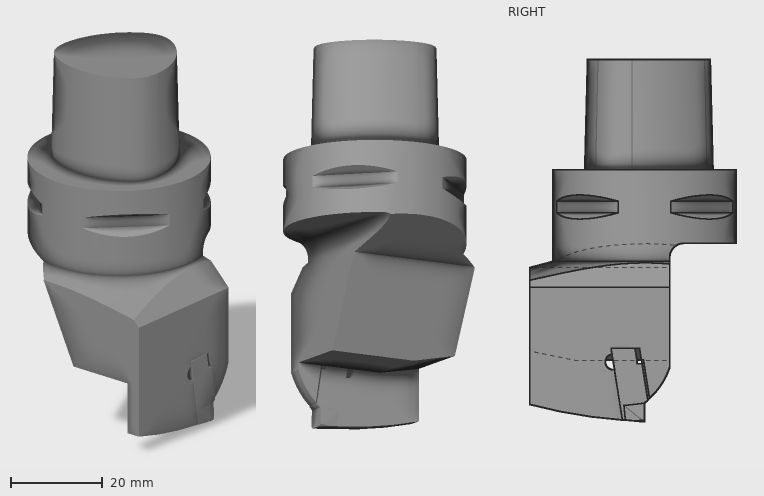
import cadquery as cq
import math


shank_height = 24.0
shank_radius = 14.0
shank_taper = 1 / 40
lobe_height = 0.93
lobe_count = 3
patch_angle = math.pi / lobe_count
patch_samples = 12

flange_radius = 20.0
flange_thickness = 16.1
flange_arm_thickness = 20.0
groove_count = 4
groove_z = -8.15
groove_floor_distance = 17.6
groove_floor_height = 2.5
groove_wall_angle = math.radians(30)

arm_back_y = 5.5
arm_front_y = -25.05
slope_angle = math.radians(15)
heel_x = -0.6
toe_x = 8.9
arm_bottom_z = -41.5
arm_front_bottom_z = -39.5
bottom_bevel_y = -15.2
shoulder_z = -25.6
arm_fillet = 3.0

insert_center_x = 25.0
insert_width = 3.4
insert_tilt = math.radians(9)
insert_top_z = -38.9
insert_front_foot = 1.44
insert_back_foot = -4.77
insert_step_z = -42.3
insert_step_depth = 1.0
nose_z = -50.3
tip_z = -55.0

tip_width = 4.02
tip_top_width = 3.6
tip_top_z = -50.9
tip_back_top = (-4.5, -51.4)
tip_back_bottom = (-4.2, -54.6)
tip_corner = 0.4

blade_inner_x = insert_center_x - insert_width / 2
blade_outer_x = 26.5
blade_top_z = -30.0
jaw_start_z = -43.1
jaw_middle = (3.7, -46.8)
jaw_end = (1.15, -49.8)
blade_front_bottom_z = -51.2
blade_bottom_middle = (-10.8, -54.0)
blade_bottom_end_z = -54.6
jaw_bevel = 0.45
relief_radius = 1.7
relief_z = -41.9


def seat_front_y(z):
    """y of the tilted front line of the insert seat at height z."""
    return insert_front_foot - (z - tip_z) * math.tan(insert_tilt)


def seat_back_y(z):
    """y of the tilted back line of the insert seat at height z."""
    return insert_back_foot - (z - tip_z) * math.tan(insert_tilt)


def yz_plane(x):
    """Sketch plane across X, with local axes along Y and Z."""
    return cq.Workplane("YZ", origin=(x, 0, 0))


def lobed_point(radius, z, angle):
    """Point of the constant-width three-lobed curve with its normal at the given angle."""
    phase = lobe_count * (angle - math.pi / 2)
    support = radius + lobe_height * math.cos(phase)
    slope = -lobe_count * lobe_height * math.sin(phase)
    x = support * math.cos(angle) - slope * math.sin(angle)
    y = support * math.sin(angle) + slope * math.cos(angle)
    return cq.Vector(x, y, z)


def lobed_wire(radius, z):
    """Closed section of six patches, alternately a lobe and a flank."""
    edges = []
    for patch in range(2 * lobe_count):
        start = patch * patch_angle
        angles = [start + patch_angle * i / patch_samples for i in range(patch_samples + 1)]
        tangents = [cq.Vector(-math.sin(a), math.cos(a), 0) for a in (angles[0], angles[-1])]
        edges.append(cq.Edge.makeSpline([lobed_point(radius, z, a) for a in angles], tangents=tangents))
    return cq.Wire.assembleEdges(edges)


def make_shank():
    top_radius = shank_radius - shank_taper * shank_height
    sections = [lobed_wire(shank_radius, 0), lobed_wire(top_radius, shank_height)]
    return cq.Workplane(cq.Solid.makeLoft(sections, True))


def make_groove_cutter():
    """Prism with a trapezoid section that opens outward along +X."""
    depth = flange_radius - groove_floor_distance
    half_floor = groove_floor_height / 2
    half_mouth = half_floor + depth * math.tan(groove_wall_angle)
    return (
        cq.Workplane("XZ")
        .moveTo(groove_floor_distance, groove_z - half_floor)
        .lineTo(flange_radius, groove_z - half_mouth)
        .lineTo(flange_radius, groove_z + half_mouth)
        .lineTo(groove_floor_distance, groove_z + half_floor)
        .close()
        .extrude(flange_radius, both=True)
    )


def make_flange():
    return cq.Workplane("XY").circle(flange_radius).extrude(-flange_thickness)


def cut_gripper_grooves(body):
    cutter = make_groove_cutter()
    step = 360 / groove_count
    for i in range(groove_count):
        body = body.cut(cutter.rotate((0, 0, 0), (0, 0, 1), step * (i + 0.5)))
    return body


def make_arm_envelope():
    """Flange cylinder widening below into the cone that tops the arm."""
    reach = 2 * flange_radius
    cone_foot_z = -flange_arm_thickness - (reach - flange_radius) * math.tan(slope_angle)
    return (
        cq.Workplane("XZ")
        .lineTo(flange_radius, 0)
        .lineTo(flange_radius, -flange_arm_thickness)
        .lineTo(reach, cone_foot_z)
        .lineTo(reach, arm_bottom_z)
        .lineTo(0, arm_bottom_z)
        .close()
        .revolve(360, (0, 0, 0), (0, 1, 0))
    )


def make_arm():
    heel_z = -flange_thickness - (heel_x + flange_radius) * math.tan(slope_angle)
    shoulder_top_x = blade_outer_x - (-flange_arm_thickness - shoulder_z)
    side_profile = (
        cq.Workplane("XZ")
        .moveTo(-flange_radius, -flange_thickness)
        .lineTo(heel_x, heel_z)
        .lineTo(toe_x, arm_bottom_z)
        .lineTo(blade_outer_x, arm_bottom_z)
        .lineTo(blade_outer_x, shoulder_z)
        .lineTo(shoulder_top_x, -flange_arm_thickness)
        .lineTo(shoulder_top_x, -flange_thickness)
        .close()
        .extrude(2 * flange_radius, both=True)
    )
    cross_profile = (
        yz_plane(0)
        .moveTo(arm_front_y, -flange_thickness)
        .lineTo(arm_back_y + arm_fillet, -flange_thickness)
        .radiusArc((arm_back_y, -flange_thickness - arm_fillet), -arm_fillet)
        .lineTo(arm_back_y, arm_bottom_z)
        .lineTo(bottom_bevel_y, arm_bottom_z)
        .lineTo(arm_front_y, arm_front_bottom_z)
        .close()
        .extrude(2 * flange_radius, both=True)
    )
    return make_arm_envelope().intersect(side_profile).intersect(cross_profile)


def make_blade():
    return (
        yz_plane(blade_inner_x)
        .moveTo(arm_front_y, blade_top_z)
        .lineTo(arm_back_y, blade_top_z)
        .lineTo(arm_back_y, jaw_start_z)
        .threePointArc(jaw_middle, jaw_end)
        .lineTo(seat_back_y(blade_bottom_end_z), blade_bottom_end_z)
        .threePointArc(blade_bottom_middle, (arm_front_y, blade_front_bottom_z))
        .close()
        .extrude(blade_outer_x - blade_inner_x)
    )


def make_seat_cutter():
    """Tilted insert slot with the round relief on its back line."""
    slot = (
        yz_plane(blade_inner_x)
        .moveTo(seat_front_y(insert_top_z), insert_top_z)
        .lineTo(seat_front_y(tip_z), tip_z)
        .lineTo(seat_back_y(tip_z), tip_z)
        .lineTo(seat_back_y(insert_top_z), insert_top_z)
        .close()
        .extrude(insert_width)
    )
    relief = (
        yz_plane(blade_inner_x)
        .center(seat_back_y(relief_z), relief_z)
        .circle(relief_radius)
        .extrude(insert_width)
    )
    return slot.union(relief)


def make_jaw_bevel_cutter():
    """Wedges that bevel both edges of the upper jaw along the insert."""
    start = (0, seat_front_y(arm_bottom_z), arm_bottom_z)
    down_the_seat = (0, math.sin(insert_tilt), -math.cos(insert_tilt))
    plane = cq.Plane(origin=start, xDir=(-1, 0, 0), normal=down_the_seat)
    length = arm_bottom_z - tip_z
    wedges = cq.Workplane(plane)
    for face_x, inward in ((blade_inner_x, -1), (blade_outer_x, 1)):
        corner = (-face_x, 0)
        wedges = wedges.add(
            cq.Workplane(plane)
            .polyline([corner, (-face_x + inward * jaw_bevel, 0), (-face_x, jaw_bevel)])
            .close()
            .extrude(length)
        )
    return wedges.combine()


def make_holder():
    body = make_flange().union(make_arm()).union(make_blade()).union(make_shank())
    body = cut_gripper_grooves(body)
    return body.cut(make_seat_cutter()).cut(make_jaw_bevel_cutter())


def make_insert():
    step_y = seat_front_y(insert_step_z) - insert_step_depth
    step_top_y = seat_front_y(insert_top_z) - insert_step_depth
    outline = [
        (step_top_y, insert_top_z),
        (step_y, insert_step_z),
        (seat_front_y(insert_step_z), insert_step_z),
        (seat_front_y(nose_z), nose_z),
        (0, tip_top_z),
        tip_back_top,
        tip_back_bottom,
        (seat_back_y(blade_bottom_end_z), blade_bottom_end_z),
        (seat_back_y(insert_top_z), insert_top_z),
    ]
    return yz_plane(blade_inner_x).polyline(outline).close().extrude(insert_width)


def make_tip():
    """Block widest at the cutting edge, each flank made of two clearance planes."""
    def corner_pair(width, y, z):
        return [cq.Vector(insert_center_x + side * width / 2, y, z) for side in (-1, 1)]

    front_top = corner_pair(tip_top_width, 0, tip_top_z)
    front_bottom = corner_pair(tip_width, 0, tip_z)
    back_top = corner_pair(insert_width, *tip_back_top)
    back_bottom = corner_pair(insert_width, *tip_back_bottom)

    ring = [front_top, front_bottom, back_bottom, back_top]
    outlines = []
    for i, (left, right) in enumerate(ring):
        next_left, next_right = ring[(i + 1) % len(ring)]
        outlines.append([left, right, next_right, next_left])
    for side in (0, 1):
        outlines.append([front_top[side], front_bottom[side], back_top[side]])
        outlines.append([front_bottom[side], back_bottom[side], back_top[side]])

    faces = [cq.Face.makeFromWires(cq.Wire.makePolygon(points, close=True)) for points in outlines]
    tip = cq.Workplane(cq.Solid.makeSolid(cq.Shell.makeShell(faces)))
    return tip.cut(make_corner_cutter())


def make_corner_cutter():
    """Two prisms that bevel the lower corners of the cutting edge."""
    cutter = cq.Workplane("XZ")
    for side in (-1, 1):
        edge_x = insert_center_x + side * tip_width / 2
        cutter = cutter.add(
            cq.Workplane("XZ")
            .polyline([(edge_x, tip_z), (edge_x - side * tip_corner, tip_z), (edge_x, tip_z + tip_corner)])
            .close()
            .extrude(-tip_back_top[0])
        )
    return cutter.combine()


holder = make_holder()
insert = make_insert()
tip = make_tip()

result = cq.Compound.makeCompound([*holder.solids().vals(), insert.val(), *tip.solids().vals()])